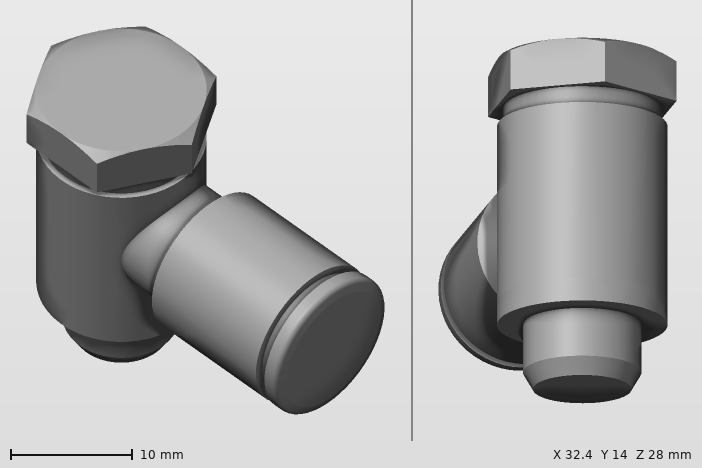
import cadquery as cq
import math


lower_seal_thickness = 2.0
barrel_height = 15.0
upper_seal_thickness = 1.5
hex_height = 4.0
thread_length = 5.5

barrel_bottom = lower_seal_thickness
barrel_top = barrel_bottom + barrel_height
hex_bottom = barrel_top + upper_seal_thickness
hex_top = hex_bottom + hex_height

hex_across_flats = 14.0
hex_across_corners = hex_across_flats / math.cos(math.radians(30))
hex_chamfer_angle = 30.0
shank_diameter = 9.73
tip_diameter = 8.1
tip_angle = 30.0

barrel_diameter = 14.0
upper_seal_diameter = 13.0

branch_height = barrel_bottom + barrel_height / 2
neck_diameter = 10.0
neck_end = 9.0
sleeve_diameter = 13.0
sleeve_end = 21.8
sleeve_cone_angle = 30.0

collet_stem_diameter = 11.5
collet_stem_length = 1.0
collet_flange_thickness = 1.5
collet_face_diameter = 11.0
collet_chamfer_angle = 15.0
collet_edge_fillet = 0.5


def ring(outer_diameter, bottom, height):
    """Flat ring around the bolt shank."""
    return (
        cq.Workplane("XY", origin=(0, 0, bottom))
        .circle(outer_diameter / 2)
        .circle(shank_diameter / 2)
        .extrude(height)
    )


def revolve_about_branch(profile):
    """Revolve an (x, radius) profile about X and lift it to the branch axis."""
    solid = profile.close().revolve(360, (0, 0), (1, 0))
    return solid.translate((0, 0, branch_height))


def make_bolt():
    """Hexagon-head bolt with a tapered tip."""
    shank_radius = shank_diameter / 2
    tip_radius = tip_diameter / 2
    tip_length = (shank_radius - tip_radius) / math.tan(math.radians(tip_angle))
    shank = (
        cq.Workplane("XZ")
        .moveTo(0, -thread_length)
        .lineTo(tip_radius, -thread_length)
        .lineTo(shank_radius, tip_length - thread_length)
        .lineTo(shank_radius, hex_bottom)
        .lineTo(0, hex_bottom)
        .close()
        .revolve(360, (0, 0), (0, 1))
    )

    face_radius = hex_across_flats / 2
    corner_radius = hex_across_corners / 2
    chamfer_drop = (corner_radius - face_radius) * math.tan(math.radians(hex_chamfer_angle))
    chamfered_blank = (
        cq.Workplane("XZ")
        .moveTo(0, hex_bottom)
        .lineTo(corner_radius, hex_bottom)
        .lineTo(corner_radius, hex_top - chamfer_drop)
        .lineTo(face_radius, hex_top)
        .lineTo(0, hex_top)
        .close()
        .revolve(360, (0, 0), (0, 1))
    )
    head = (
        cq.Workplane("XY", origin=(0, 0, hex_bottom))
        .polygon(6, hex_across_corners)
        .extrude(hex_height)
        .intersect(chamfered_blank)
    )
    return shank.union(head)


def make_housing():
    """Barrel around the bolt with the neck and push-in sleeve of the branch."""
    neck_radius = neck_diameter / 2
    sleeve_radius = sleeve_diameter / 2
    cone_length = (sleeve_radius - neck_radius) * math.tan(math.radians(sleeve_cone_angle))
    barrel = (
        cq.Workplane("XY", origin=(0, 0, barrel_bottom))
        .circle(barrel_diameter / 2)
        .extrude(barrel_height)
    )
    branch = revolve_about_branch(
        cq.Workplane("XZ")
        .lineTo(0, neck_radius)
        .lineTo(neck_end, neck_radius)
        .lineTo(neck_end + cone_length, sleeve_radius)
        .lineTo(sleeve_end, sleeve_radius)
        .lineTo(sleeve_end, 0)
    )
    bolt_bore = (
        cq.Workplane("XY", origin=(0, 0, barrel_bottom))
        .circle(shank_diameter / 2)
        .extrude(barrel_height)
    )
    return barrel.union(branch).cut(bolt_bore)


def make_collet():
    """Release collet: a short stem and a flange with a chamfered, rounded rim."""
    stem_radius = collet_stem_diameter / 2
    flange_radius = sleeve_diameter / 2
    face_radius = collet_face_diameter / 2
    flange_start = sleeve_end + collet_stem_length
    flange_end = flange_start + collet_flange_thickness

    chamfer_length = (flange_radius - face_radius) * math.tan(math.radians(collet_chamfer_angle))
    turn = math.radians(90 - collet_chamfer_angle)
    fillet_setback = collet_edge_fillet * math.tan(turn / 2)
    fillet_x = flange_end - chamfer_length - fillet_setback
    fillet_r = flange_radius - collet_edge_fillet

    def fillet_point(angle):
        return (
            fillet_x + collet_edge_fillet * math.sin(angle),
            fillet_r + collet_edge_fillet * math.cos(angle),
        )

    return revolve_about_branch(
        cq.Workplane("XZ")
        .moveTo(sleeve_end, 0)
        .lineTo(sleeve_end, stem_radius)
        .lineTo(flange_start, stem_radius)
        .lineTo(flange_start, flange_radius)
        .lineTo(fillet_x, flange_radius)
        .threePointArc(fillet_point(turn / 2), fillet_point(turn))
        .lineTo(flange_end, face_radius)
        .lineTo(flange_end, 0)
    )


bolt = make_bolt()
upper_seal = ring(upper_seal_diameter, barrel_top, upper_seal_thickness)
housing = make_housing()
lower_seal = ring(barrel_diameter, 0, lower_seal_thickness)
collet = make_collet()

bodies = [bolt, upper_seal, housing, lower_seal, collet]
result = cq.Compound.makeCompound([body.solids().val() for body in bodies])